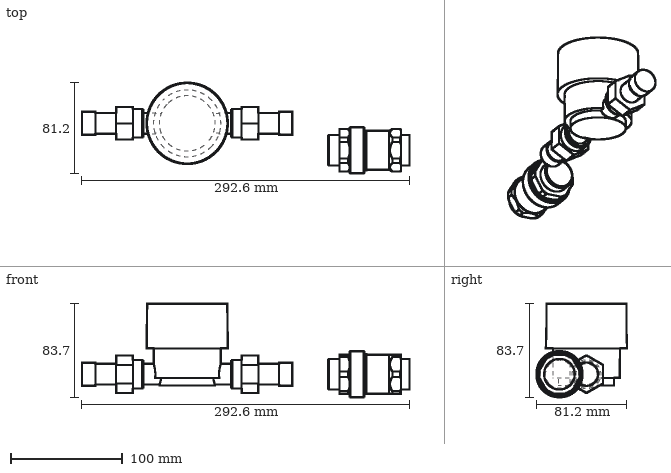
import cadquery as cq


CAP_TOP_Z = 62.99
CAP_BOTTOM_Z = 23.0
CAP_TOP_RADIUS = 35.9
CAP_BOTTOM_RADIUS = 36.4
BARREL_RADIUS = 30.0
BARREL_BOTTOM_Z = -3.2
BASE_RADIUS = 24.8
BASE_BOTTOM_Z = -10.1

PIPE_RADIUS = 9.4
PIPE_HALF_LENGTH = 94.0
PIPE_END_RADIUS = 10.4
PIPE_END_LENGTH = 11.9
NUT_ACROSS_FLATS = 29.2
NUT_INNER_X = 48.6
NUT_LENGTH = 15.0
SLEEVE_RADIUS = 12.9
SLEEVE_LENGTH = 9.4
SLEEVE_CHAMFER = 1.2

OVERALL_LENGTH = 292.6
VALVE_LENGTH = 73.0
VALVE_START_X = OVERALL_LENGTH - PIPE_HALF_LENGTH - VALVE_LENGTH
VALVE_Y = -24.12
SPIGOT_RADIUS = 13.7
SPIGOT_CHAMFER = 1.2
BODY_RADIUS = 17.5
SHOULDER_RADIUS = 17.9
SHOULDER_LENGTH = 1.5
COLLAR_RADIUS = 20.7
COLLAR_START = 19.2
COLLAR_LENGTH = 13.8
COLLAR_CHAMFER = 1.2
HEX_ACROSS_FLATS = 35.2
HEX_CORNER_RADIUS = 19.1
HEX_CHAMFER = 1.0
FRONT_HEX_START = 10.3
FRONT_HEX_CONE = 0.3
REAR_HEX_START = 54.8
REAR_HEX_LENGTH = 10.8
REAR_HEX_CONE_LENGTH = 2.8
REAR_HEX_CONE_DEPTH = 2.0

HEX_CORNER_FACTOR = 2 / 3 ** 0.5


def rod(start_x, length, radius):
    """Round bar along X."""
    return cq.Workplane("YZ", origin=(start_x, 0, 0)).circle(radius).extrude(length)


def hex_bar(start_x, length, across_flats, turn):
    """Hexagonal bar along X; with turn = 0 two corners lie on the Y axis."""
    bar = (
        cq.Workplane("YZ", origin=(start_x, 0, 0))
        .polygon(6, across_flats * HEX_CORNER_FACTOR)
        .extrude(length)
    )
    return bar.rotate((0, 0, 0), (1, 0, 0), turn)


def disc(bottom_z, top_z, radius):
    """Upright round step."""
    return cq.Workplane("XY", origin=(0, 0, bottom_z)).circle(radius).extrude(top_z - bottom_z)


def make_housing():
    cap = (
        cq.Workplane("XY", origin=(0, 0, CAP_BOTTOM_Z))
        .circle(CAP_BOTTOM_RADIUS)
        .workplane(offset=CAP_TOP_Z - CAP_BOTTOM_Z)
        .circle(CAP_TOP_RADIUS)
        .loft()
    )
    barrel = disc(BARREL_BOTTOM_Z, CAP_BOTTOM_Z, BARREL_RADIUS)
    base = disc(BASE_BOTTOM_Z, BARREL_BOTTOM_Z, BASE_RADIUS)
    return cap.union(barrel).union(base)


def make_pipe_arm():
    """Half of the pipework, on the +X side."""
    pipe = rod(0, PIPE_HALF_LENGTH, PIPE_RADIUS)
    pipe_end = rod(PIPE_HALF_LENGTH - PIPE_END_LENGTH, PIPE_END_LENGTH, PIPE_END_RADIUS)
    nut = hex_bar(NUT_INNER_X, NUT_LENGTH, NUT_ACROSS_FLATS, 90)
    sleeve = rod(NUT_INNER_X - SLEEVE_LENGTH, SLEEVE_LENGTH, SLEEVE_RADIUS)
    sleeve = sleeve.faces("<X").chamfer(SLEEVE_CHAMFER)
    return pipe.union(pipe_end).union(nut).union(sleeve)


def make_meter():
    arm = make_pipe_arm()
    return make_housing().union(arm).union(arm.mirror("YZ"))


def make_turned_hex(start, length, cone_length, cone_depth):
    """Hexagon with corners turned to a cylinder, a cone on its -X end and a chamfer on its +X end."""
    end = start + length
    envelope = (
        cq.Workplane("XY")
        .moveTo(start, 0)
        .lineTo(start, HEX_CORNER_RADIUS - cone_depth)
        .lineTo(start + cone_length, HEX_CORNER_RADIUS)
        .lineTo(end - HEX_CHAMFER, HEX_CORNER_RADIUS)
        .lineTo(end, HEX_CORNER_RADIUS - HEX_CHAMFER)
        .lineTo(end, 0)
        .close()
        .revolve(360, (0, 0, 0), (1, 0, 0))
    )
    return hex_bar(start, length, HEX_ACROSS_FLATS, 0).intersect(envelope)


def make_valve():
    spigots = rod(0, VALVE_LENGTH, SPIGOT_RADIUS).faces("<X").chamfer(SPIGOT_CHAMFER)
    front_hex = make_turned_hex(
        FRONT_HEX_START, COLLAR_START - FRONT_HEX_START, FRONT_HEX_CONE, FRONT_HEX_CONE
    )
    collar = rod(COLLAR_START, COLLAR_LENGTH, COLLAR_RADIUS).faces("<X or >X").chamfer(COLLAR_CHAMFER)
    shoulder_start = COLLAR_START + COLLAR_LENGTH
    shoulder = rod(shoulder_start, SHOULDER_LENGTH, SHOULDER_RADIUS)
    body = rod(shoulder_start, REAR_HEX_START - shoulder_start, BODY_RADIUS)
    rear_hex = make_turned_hex(
        REAR_HEX_START, REAR_HEX_LENGTH, REAR_HEX_CONE_LENGTH, REAR_HEX_CONE_DEPTH
    )
    valve = spigots
    for section in (front_hex, collar, shoulder, body, rear_hex):
        valve = valve.union(section)
    return valve.translate((VALVE_START_X, VALVE_Y, 0))


meter = make_meter()
valve = make_valve()

result = cq.Compound.makeCompound([meter.val(), valve.val()])